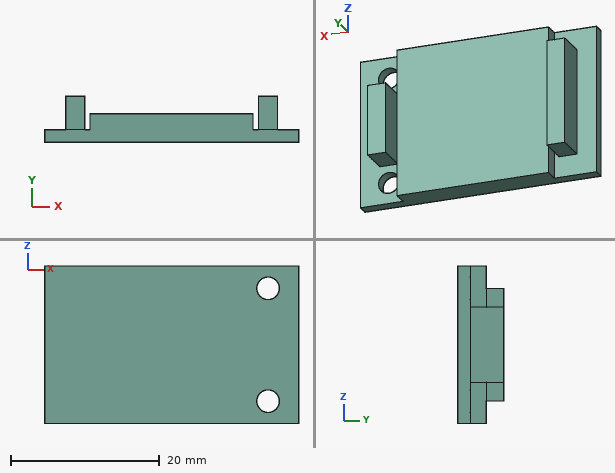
import cadquery as cq

plate_length = 34.2
plate_height = 21.2
plate_thickness = 1.7

block_start = 6.1
block_length = 21.95
block_rise = 2.15

total_depth = 6.2
bar_width = 2.6
bar_rise = total_depth - plate_thickness
left_bar_center = 4.1
right_bar_center = 30.05
left_bar_height = 15.2

hole_diameter = 3.0
hole_spacing = left_bar_height
hole_clearance = 1.03
right_bar_height = hole_spacing - hole_diameter - 2 * hole_clearance
middle_height = plate_height / 2


def back_box(center_x, length, height, rise):
    """Box standing on the back of the plate, centered on its height."""
    return (
        cq.Workplane("XY")
        .box(length, rise, height, centered=(True, False, True))
        .translate((center_x, plate_thickness, middle_height))
    )


plate = cq.Workplane("XY").box(plate_length, plate_thickness, plate_height, centered=False)

block_center = block_start + block_length / 2
result = plate.union(back_box(block_center, block_length, plate_height, block_rise))

for bar_center, bar_height in ((left_bar_center, left_bar_height), (right_bar_center, right_bar_height)):
    result = result.union(back_box(bar_center, bar_width, bar_height, bar_rise))

for side in (-1, 1):
    hole = (
        cq.Workplane("XZ")
        .center(right_bar_center, middle_height + side * hole_spacing / 2)
        .circle(hole_diameter / 2)
        .extrude(-plate_thickness)
    )
    result = result.cut(hole)